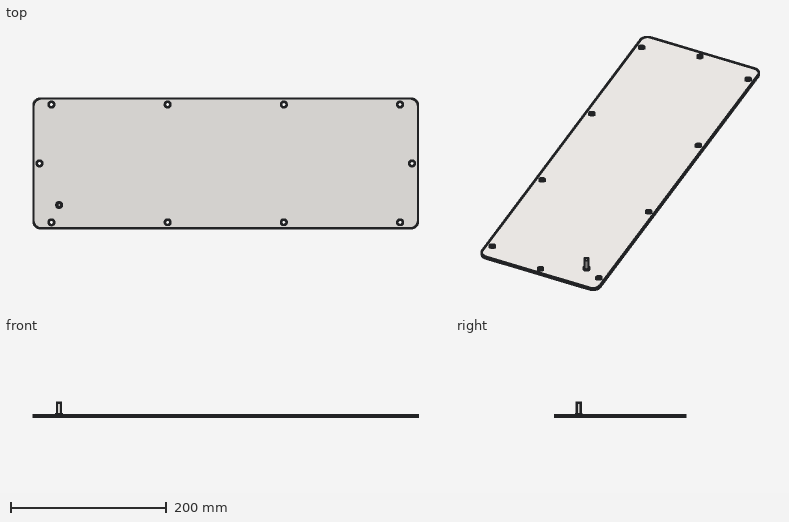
import cadquery as cq

length = 494.0
width = 167.0
thickness = 3.0
corner_radius = 10.0

hole_diameter = 7.0
edge_margin = 8.0
row_pitch = 149.0
holes_per_row = 4

total_height = 19.0
stud_diameter = 5.5
collar_diameter = 7.5
collar_height = 1.0
stud_from_left = 33.0
stud_from_front = 30.0


def mounting_points():
    """Two rows along the long edges and one hole midway along each short edge."""
    row_y = width / 2 - edge_margin
    end_x = length / 2 - edge_margin
    first_x = -row_pitch * (holes_per_row - 1) / 2
    points = [(-end_x, 0), (end_x, 0)]
    for i in range(holes_per_row):
        x = first_x + i * row_pitch
        points += [(x, -row_y), (x, row_y)]
    return points


def make_plate():
    plate = cq.Workplane("XY").box(length, width, thickness, centered=(True, True, False))
    plate = plate.edges("|Z").fillet(corner_radius)
    return plate.faces(">Z").workplane(origin=(0, 0, 0)).pushPoints(mounting_points()).hole(hole_diameter)


def make_stud():
    base = cq.Workplane("XY").center(stud_from_left - length / 2, stud_from_front - width / 2)
    shank = base.circle(stud_diameter / 2).extrude(total_height)
    collar = base.circle(collar_diameter / 2).extrude(thickness + collar_height)
    return shank.union(collar)


result = make_plate().union(make_stud())